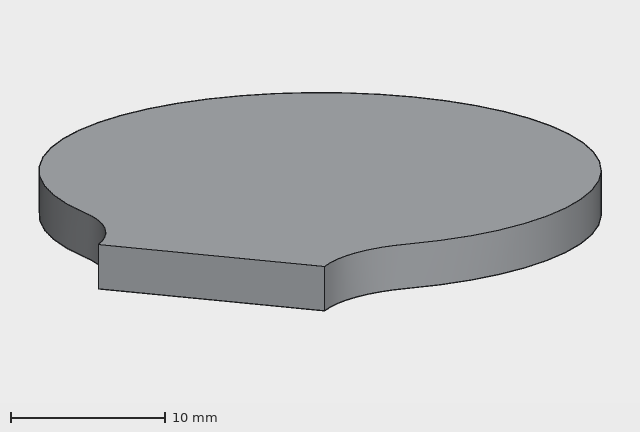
import cadquery as cq
import math

total_length = 39.43
disc_diameter = 36.45
neck_width = 15.55
thickness = 3.0

disc_radius = disc_diameter / 2
neck_half = neck_width / 2
neck_end_y = disc_radius - total_length

flank_radius = (neck_half**2 + neck_end_y**2 - disc_radius**2) / (2 * (disc_radius - neck_half))
flank_center_x = neck_half + flank_radius

contact_ratio = disc_radius / (disc_radius + flank_radius)
contact_x = flank_center_x * contact_ratio
contact_y = neck_end_y * contact_ratio

flank_mid_angle = math.atan2(contact_y - neck_end_y, flank_center_x - contact_x) / 2
flank_mid_x = flank_center_x - flank_radius * math.cos(flank_mid_angle)
flank_mid_y = neck_end_y + flank_radius * math.sin(flank_mid_angle)

result = (
    cq.Workplane("XY")
    .moveTo(-neck_half, neck_end_y)
    .lineTo(neck_half, neck_end_y)
    .threePointArc((flank_mid_x, flank_mid_y), (contact_x, contact_y))
    .threePointArc((0, disc_radius), (-contact_x, contact_y))
    .threePointArc((-flank_mid_x, flank_mid_y), (-neck_half, neck_end_y))
    .close()
    .extrude(thickness)
)